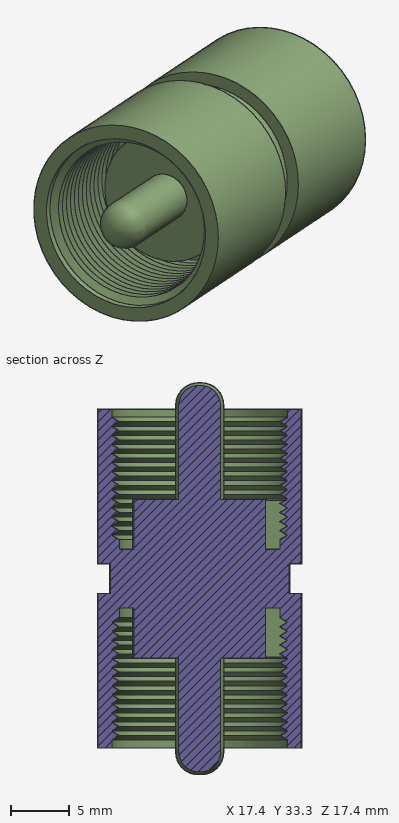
import cadquery as cq

overall_length = 33.27
body_length = 28.77
body_radius = 8.7
neck_width = 2.5
neck_radius = 7.65

root_radius = 7.49
crest_radius = 6.87
groove_pitch = 0.77
groove_count = 13
mouth_depth = 0.68

core_radius = 5.69
core_face = 6.73
gap_floor = 2.5

key_width = 1.93
key_setback = 0.08

pin_radius = 2.05
tip_flat_radius = 0.13

body_end = body_length / 2
pin_end = overall_length / 2
neck_end = neck_width / 2
key_face = core_face - key_setback


def cylinder(radius, start, end):
    """Cylinder about the Y axis; the XZ plane faces -Y, so growing toward +Y is negative."""
    return cq.Workplane("XZ", origin=(0, start, 0)).circle(radius).extrude(start - end)


def make_body_half():
    """Outer sleeve and half of the narrower neck that joins it to its mirror image."""
    neck = cylinder(neck_radius, 0, neck_end)
    sleeve = cylinder(body_radius, neck_end, body_end)
    return neck.union(sleeve)


def make_socket():
    """Cavity with a plain mouth followed by V-shaped ring grooves down to the gap floor."""
    half_pitch = groove_pitch / 2
    first_crest = body_end - mouth_depth - half_pitch
    profile = (
        cq.Workplane("XY")
        .moveTo(0, body_end)
        .lineTo(root_radius, body_end)
        .lineTo(root_radius, body_end - mouth_depth)
        .lineTo(crest_radius, first_crest)
    )
    for index in range(groove_count):
        crest = first_crest - index * groove_pitch
        profile = profile.lineTo(root_radius, crest - half_pitch)
        profile = profile.lineTo(crest_radius, crest - groove_pitch)
    profile = profile.lineTo(crest_radius, gap_floor).lineTo(0, gap_floor)
    return profile.close().revolve(360, (0, 0, 0), (0, 1, 0))


def make_key():
    """Block from the core to the socket wall, sunk into both so that they join."""
    start = core_radius - key_width / 2
    length = root_radius - start
    return (
        cq.Workplane("XZ", origin=(0, gap_floor, 0))
        .center(start + length / 2, 0)
        .rect(length, key_width)
        .extrude(gap_floor - key_face)
    )


def make_pin():
    """Half of the centre pin, rounded at the tip down to a tiny flat."""
    dome_radius = pin_radius - tip_flat_radius
    return cylinder(pin_radius, 0, pin_end).faces(">Y").edges().fillet(dome_radius)


half = make_body_half().cut(make_socket())
half = half.union(cylinder(core_radius, 0, core_face))
half = half.union(make_key())
half = half.union(make_pin())
result = half.union(half.mirror("XZ"))